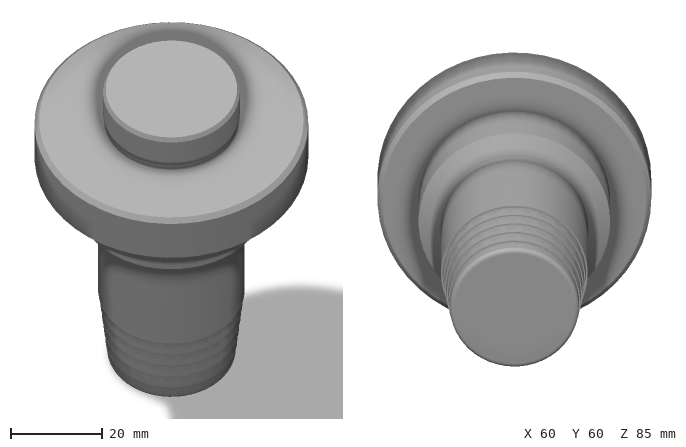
import cadquery as cq
import math

total_length = 85.0
plug_diameter = 30.0
flange_diameter = 60.0
collar_diameter = 42.0
shaft_diameter = 32.1

plug_length = 10.0
flange_thickness = 13.0
collar_length = 12.5
flange_top = total_length - plug_length
flange_bottom = flange_top - flange_thickness
collar_bottom = flange_bottom - collar_length

flange_chamfer = 1.0
plug_chamfer_height = 1.0
plug_chamfer_width = 0.6
tip_fillet = 1.0
shoulder_angle = 30.0
shoulder_fillet = 1.0

relief_depth = 0.3
relief_flank_angle = 15.0
relief_width = 2.5
relief_fillet = 0.8
relief_face_diameter = 33.5
relief_face_angle = 8.0

ring_count = 5
ring_length = 4.0
top_ring_diameter = 31.45
ring_diameter_drop = 0.8
ring_taper = 0.25
hose_end_top = ring_count * ring_length


def tan_degrees(angle):
    return math.tan(math.radians(angle))


def revolve(profile):
    return profile.close().revolve(360, (0, 0, 0), (0, 1, 0))


def disc(diameter, bottom, top):
    return cq.Workplane("XY").workplane(offset=bottom).circle(diameter / 2).extrude(top - bottom)


def make_flange():
    return disc(flange_diameter, flange_bottom, flange_top).edges().chamfer(flange_chamfer)


def make_plug():
    plug = disc(plug_diameter, flange_bottom, total_length)
    return plug.faces(">Z").chamfer(plug_chamfer_height, plug_chamfer_width)


def make_relief():
    """Ring cut out around the foot of the plug, dipping slightly into the flange."""
    plug_radius = plug_diameter / 2
    neck_radius = plug_radius - relief_depth
    face_radius = relief_face_diameter / 2
    flank_top = flange_top + relief_width
    flank_bottom = flank_top - relief_depth / tan_degrees(relief_flank_angle)
    face_dip = (face_radius - neck_radius) * tan_degrees(relief_face_angle)
    corner = flange_top - face_dip

    slope = math.radians(relief_face_angle)
    tangent_length = relief_fillet * math.tan((math.pi / 2 - slope) / 2)
    center = (neck_radius + relief_fillet, corner + tangent_length)
    arc_start = (neck_radius, center[1])
    arc_end = (
        neck_radius + tangent_length * math.cos(slope),
        corner + tangent_length * math.sin(slope),
    )
    middle_angle = (math.pi + 3 * math.pi / 2 + slope) / 2
    arc_middle = (
        center[0] + relief_fillet * math.cos(middle_angle),
        center[1] + relief_fillet * math.sin(middle_angle),
    )

    return revolve(
        cq.Workplane("XZ")
        .moveTo(plug_radius, flank_top)
        .lineTo(neck_radius, flank_bottom)
        .lineTo(*arc_start)
        .threePointArc(arc_middle, arc_end)
        .lineTo(face_radius, flange_top)
        .lineTo(face_radius, flank_top)
    )


def make_collar_and_shaft():
    collar_radius = collar_diameter / 2
    shaft_radius = shaft_diameter / 2
    shoulder_height = (collar_radius - shaft_radius) * tan_degrees(shoulder_angle)
    shoulder_bottom = collar_bottom - shoulder_height
    body = revolve(
        cq.Workplane("XZ")
        .moveTo(0, flange_bottom)
        .lineTo(collar_radius, flange_bottom)
        .lineTo(collar_radius, collar_bottom)
        .lineTo(shaft_radius, shoulder_bottom)
        .lineTo(shaft_radius, hose_end_top)
        .lineTo(0, hose_end_top)
    )
    shoulder_root = cq.selectors.BoxSelector(
        (-shaft_radius, -shaft_radius, shoulder_bottom - shoulder_height / 2),
        (shaft_radius, shaft_radius, shoulder_bottom + shoulder_height / 2),
        boundingbox=False,
    )
    return body.edges("%CIRCLE").edges(shoulder_root).fillet(shoulder_fillet)


def make_hose_end():
    profile = cq.Workplane("XZ").moveTo(0, hose_end_top)
    for ring in range(ring_count):
        top_diameter = top_ring_diameter - ring * ring_diameter_drop
        bottom_diameter = top_diameter - ring_taper
        top = hose_end_top - ring * ring_length
        profile = profile.lineTo(top_diameter / 2, top)
        profile = profile.lineTo(bottom_diameter / 2, top - ring_length)
    hose_end = revolve(profile.lineTo(0, 0))
    return hose_end.faces("<Z").edges().fillet(tip_fillet)


result = (
    make_flange()
    .union(make_plug())
    .cut(make_relief())
    .union(make_collar_and_shaft())
    .union(make_hose_end())
)